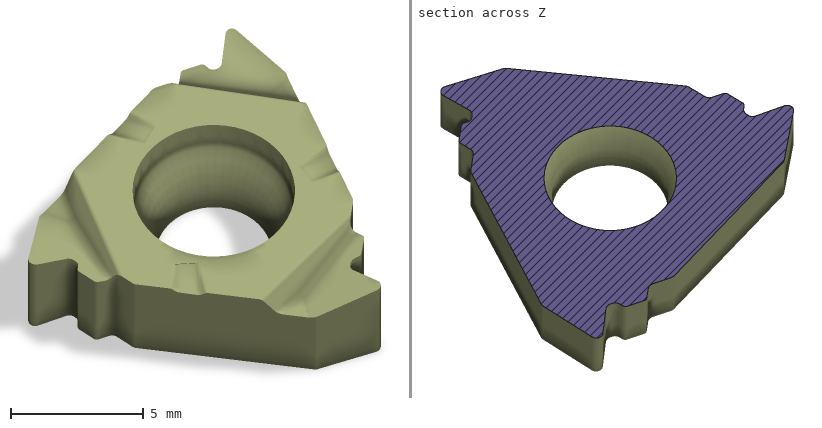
import cadquery as cq
import math

TOOTH_COUNT = 3
THICKNESS = 4.11
INSCRIBED_DIAMETER = 9.525
FACE_OFFSET = INSCRIBED_DIAMETER / 2

FLANK_ANGLE = 61.5
TIP_X = -3.373
TIP_Y = -6.895
TIP_RADIUS = 0.26
ROOT_Y = -5.573
CREST_Y = -5.92
CREST_LEFT_X = -1.903
CREST_RIGHT_X = -1.0
CREST_SIDE_ANGLE = 60.0
SHOULDER_Y = -5.298
HOLLOW_RADIUS = 0.28
CREST_RADIUS = 0.18
HEEL_RADIUS = 0.22
SHOULDER_RADIUS = 0.28

JUNCTION = cq.Vector(-3.612, -3.959, 3.21)
WALL_TURN = 31.8
WALL_SLOPE = 56.5
RAKE_ANGLE = 15.0
FLOOR_ANGLE = 5.0
BREAKER_RADIUS = 0.3
WALL_TOP_RADIUS = 0.19
CUTTER_SIZE = 14.0

NOTCH_MOUTH_Y = 0.27
NOTCH_TURN = 12.6
NOTCH_WIDTH = 0.63
NOTCH_LENGTH = 1.28
NOTCH_MOUTH_DEPTH = 0.20
NOTCH_END_DEPTH = 0.03
NOTCH_FLOOR_RADIUS = 0.3
NOTCH_SIDE_SLOPE = 40.0
NOTCH_RIM_RADIUS = 0.19
NOTCH_CUTTER_HEIGHT = 0.6
NOTCH_CUTTER_LENGTH = 2 * NOTCH_LENGTH

BORE_DIAMETER = 4.4
SEAT_TOP_RADIUS = 3.075
SEAT_WALL_RADIUS = 3.01
SEAT_WALL_DEPTH = 1.03
SEAT_ARC_RADIUS = 4.0
SEAT_ARC_ANGLE = 35.0
SEAT_ARC_END_DEPTH = 3.56


def sin(degrees):
    return math.sin(math.radians(degrees))


def cos(degrees):
    return math.cos(math.radians(degrees))


def tan(degrees):
    return math.tan(math.radians(degrees))


def tooth_angles():
    return [index * 360 / TOOTH_COUNT for index in range(TOOTH_COUNT)]


def turned(x, y, degrees):
    """The point (x, y) turned about the origin."""
    return (x * cos(degrees) - y * sin(degrees), x * sin(degrees) + y * cos(degrees))


def tooth_corners():
    """Sharp outline corners of one tooth, each with its rounding radius."""
    apex_y = TIP_Y + TIP_RADIUS - TIP_RADIUS / cos(FLANK_ANGLE)
    heel_y = apex_y + (TIP_X + FACE_OFFSET) * tan(FLANK_ANGLE)
    root_left_x = TIP_X + (ROOT_Y - apex_y) / tan(FLANK_ANGLE)
    root_right_x = CREST_LEFT_X - (ROOT_Y - CREST_Y) / tan(CREST_SIDE_ANGLE)
    shoulder_left_x = CREST_RIGHT_X + (SHOULDER_Y - CREST_Y) / tan(CREST_SIDE_ANGLE)
    face_normal = 180 / TOOTH_COUNT
    shoulder_right_x = (FACE_OFFSET + SHOULDER_Y * sin(face_normal)) / cos(face_normal)
    return [
        (-FACE_OFFSET, heel_y, HEEL_RADIUS),
        (TIP_X, apex_y, TIP_RADIUS),
        (root_left_x, ROOT_Y, HOLLOW_RADIUS),
        (root_right_x, ROOT_Y, HOLLOW_RADIUS),
        (CREST_LEFT_X, CREST_Y, CREST_RADIUS),
        (CREST_RIGHT_X, CREST_Y, CREST_RADIUS),
        (shoulder_left_x, SHOULDER_Y, HOLLOW_RADIUS),
        (shoulder_right_x, SHOULDER_Y, SHOULDER_RADIUS),
    ]


def rounded_corner(before, corner, after, radius):
    """Start, middle and end points of the arc that rounds one corner."""
    to_before = (before - corner).normalized()
    to_after = (after - corner).normalized()
    half_angle = to_before.getAngle(to_after) / 2
    reach = radius / math.tan(half_angle)
    centre_distance = radius / math.sin(half_angle)
    bisector = (to_before + to_after).normalized()
    start = corner + to_before * reach
    middle = corner + bisector * (centre_distance - radius)
    end = corner + to_after * reach
    return start, middle, end


def make_blank():
    corners = []
    for angle in tooth_angles():
        for x, y, radius in tooth_corners():
            corners.append((cq.Vector(*turned(x, y, angle)), radius))
    arcs = []
    for index, (corner, radius) in enumerate(corners):
        before = corners[index - 1][0]
        after = corners[(index + 1) % len(corners)][0]
        arcs.append(rounded_corner(before, corner, after, radius))
    first_start = arcs[0][0]
    outline = cq.Workplane("XY").moveTo(first_start.x, first_start.y)
    for index, (start, middle, end) in enumerate(arcs):
        if index > 0:
            outline = outline.lineTo(start.x, start.y)
        outline = outline.threePointArc((middle.x, middle.y), (end.x, end.y))
    return outline.close().extrude(THICKNESS)


def space_above(normal):
    """Block that stands on the plane through the junction with this normal."""
    along_wall = cq.Vector(cos(WALL_TURN), -sin(WALL_TURN), 0)
    plane = cq.Plane(origin=JUNCTION, xDir=along_wall.cross(normal), normal=normal)
    return cq.Workplane(plane).rect(CUTTER_SIZE, CUTTER_SIZE).extrude(CUTTER_SIZE)


def make_breaker_cutter():
    wall = cq.Vector(-sin(WALL_TURN) * sin(WALL_SLOPE), -cos(WALL_TURN) * sin(WALL_SLOPE), cos(WALL_SLOPE))
    rake = cq.Vector(0, sin(RAKE_ANGLE), cos(RAKE_ANGLE))
    floor = cq.Vector(sin(FLOOR_ANGLE), 0, cos(FLOOR_ANGLE))
    cutter = space_above(wall).intersect(space_above(rake)).intersect(space_above(floor))
    junction_vertex = cutter.vertices(cq.selectors.NearestToPointSelector(JUNCTION.toTuple()))
    return cutter.newObject(junction_vertex.ancestors("Edge").vals()).fillet(BREAKER_RADIUS)


def cut_chip_breakers(body):
    cutter = make_breaker_cutter()
    for angle in tooth_angles():
        body = body.cut(cutter.rotate((0, 0, 0), (0, 0, 1), angle))
    for angle in tooth_angles():
        along_wall = cq.Vector(*turned(1, 0, angle - WALL_TURN))
        wall_edge = body.faces(">Z").edges(cq.selectors.ParallelDirSelector(along_wall))
        body = wall_edge.fillet(WALL_TOP_RADIUS)
    return body


def make_notch_cutter():
    """Groove with sloping sides whose floor drops from its inner end to the side face."""
    rise = (NOTCH_MOUTH_DEPTH - NOTCH_END_DEPTH) / NOTCH_LENGTH
    inner_end = cq.Vector(
        -FACE_OFFSET + NOTCH_LENGTH * cos(NOTCH_TURN),
        NOTCH_MOUTH_Y + NOTCH_LENGTH * sin(NOTCH_TURN),
        THICKNESS - NOTCH_END_DEPTH,
    )
    outward = cq.Vector(-cos(NOTCH_TURN), -sin(NOTCH_TURN), -rise)
    across = cq.Vector(-sin(NOTCH_TURN), cos(NOTCH_TURN), 0)
    section = cq.Workplane(cq.Plane(origin=inner_end, xDir=across, normal=outward))
    half_floor = NOTCH_WIDTH / 2 + NOTCH_FLOOR_RADIUS * tan(NOTCH_SIDE_SLOPE / 2)
    half_top = half_floor + NOTCH_CUTTER_HEIGHT / tan(NOTCH_SIDE_SLOPE)
    profile = [
        (-half_floor, 0),
        (half_floor, 0),
        (half_top, -NOTCH_CUTTER_HEIGHT),
        (-half_top, -NOTCH_CUTTER_HEIGHT),
    ]
    groove = section.polyline(profile).close().extrude(NOTCH_CUTTER_LENGTH)
    floor_edges = groove.faces("<Z").edges(cq.selectors.ParallelDirSelector(outward))
    return floor_edges.fillet(NOTCH_FLOOR_RADIUS)


def round_notch_rim(body):
    """Round the top edges of the two sloping sides of the notch in the -X face."""
    side_zone = cq.selectors.BoxSelector(
        (-FACE_OFFSET, NOTCH_MOUTH_Y - NOTCH_LENGTH, 0),
        (-FACE_OFFSET + NOTCH_LENGTH / 2, NOTCH_MOUTH_Y + NOTCH_LENGTH, 2 * THICKNESS),
    )
    return body.faces(">Z").edges(side_zone).fillet(NOTCH_RIM_RADIUS)


def cut_side_notches(body):
    """Cut one notch in the -X face after each third of a turn, back to the start."""
    cutter = make_notch_cutter()
    for _ in range(TOOTH_COUNT):
        body = round_notch_rim(body.cut(cutter))
        body = body.rotate((0, 0, 0), (0, 0, 1), 360 / TOOTH_COUNT)
    return body


def seat_arc_point(angle):
    """Point (radius, height) on the seat arc, measured from its tangency with the bore."""
    radius = BORE_DIAMETER / 2 + SEAT_ARC_RADIUS * (1 - cos(angle))
    height = THICKNESS - SEAT_ARC_END_DEPTH + SEAT_ARC_RADIUS * sin(angle)
    return radius, height


def cut_screw_hole(body):
    """Tapered mouth, blended into a convex seat that runs down into the bore."""
    profile = (
        cq.Workplane("XZ")
        .moveTo(0, THICKNESS)
        .lineTo(SEAT_TOP_RADIUS, THICKNESS)
        .lineTo(SEAT_WALL_RADIUS, THICKNESS - SEAT_WALL_DEPTH)
        .tangentArcPoint(seat_arc_point(SEAT_ARC_ANGLE), relative=False)
        .threePointArc(seat_arc_point(SEAT_ARC_ANGLE / 2), seat_arc_point(0))
        .lineTo(BORE_DIAMETER / 2, 0)
        .lineTo(0, 0)
        .close()
    )
    return body.cut(profile.revolve(360, (0, 0), (0, 1)))


blank = make_blank()
with_breakers = cut_chip_breakers(blank)
with_notches = cut_side_notches(with_breakers)
result = cut_screw_hole(with_notches)